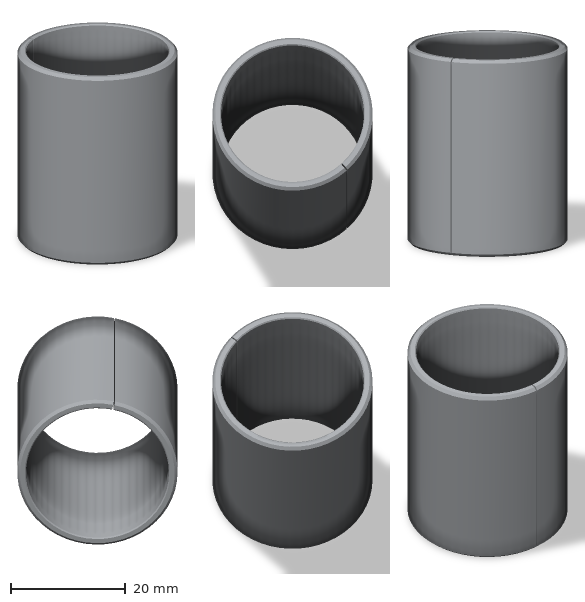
import cadquery as cq

outer_diameter = 28.0
inner_diameter = 25.0
length = 35.0

outer_chamfer = 0.5
inner_chamfer = 0.2

joint_gap_angle = 1.0
wrap_angle = 360.0 - joint_gap_angle

outer_radius = outer_diameter / 2
inner_radius = inner_diameter / 2
half_length = length / 2


def make_wall_section():
    """Section of the wall on the -X side, chamfered at both ends."""
    outer_shoulder = half_length - outer_chamfer
    outer_rim = outer_radius - outer_chamfer
    inner_shoulder = half_length - inner_chamfer
    inner_rim = inner_radius + inner_chamfer
    return (
        cq.Workplane("XZ")
        .moveTo(-inner_radius, -inner_shoulder)
        .lineTo(-inner_rim, -half_length)
        .lineTo(-outer_rim, -half_length)
        .lineTo(-outer_radius, -outer_shoulder)
        .lineTo(-outer_radius, outer_shoulder)
        .lineTo(-outer_rim, half_length)
        .lineTo(-inner_rim, half_length)
        .lineTo(-inner_radius, inner_shoulder)
        .close()
    )


result = make_wall_section().revolve(wrap_angle, (0, 0, 0), (0, 1, 0))